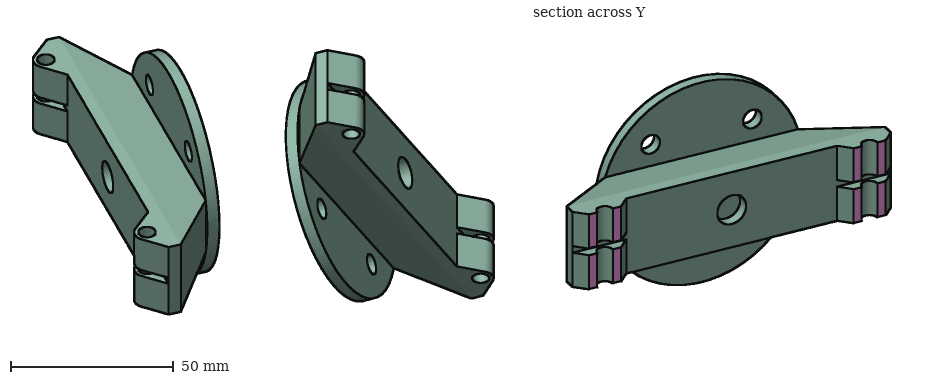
import cadquery as cq
import math

disc_diameter = 70.0
disc_thickness = 4.0
disc_hole_diameter = 6.4
disc_hole_circle_diameter = 50.0
disc_hole_count = 4
disc_hole_start_angle = 45.0

bar_length = 110.6
bar_height = 26.3
bar_thickness = 4.0
neck_depth = 16.0
neck_length_at_disc = 67.0
neck_height_at_disc = 20.3
bore_diameter = 10.0
bore_depth = bar_thickness

lug_center_diagonal = 65.0
lug_center_x = lug_center_diagonal / math.sqrt(2)
lug_tip_radius = 4.0
lug_hole_diameter = 5.3
lug_slot_height = 2.3

disc_front_y = -disc_thickness
bar_back_y = disc_front_y - neck_depth
bar_front_y = bar_back_y - bar_thickness
lug_half_width = bar_length / 2 - lug_center_x
lug_axis_y = bar_front_y - (lug_half_width - lug_tip_radius * math.sqrt(2))
lug_tip_y = lug_axis_y - lug_tip_radius


def front_plane(y):
    """Plane at depth y, facing -Y, with local X along X and local Y along Z."""
    return cq.Workplane("XZ", origin=(0, y, 0))


def make_disc():
    disc = front_plane(0).circle(disc_diameter / 2).extrude(disc_thickness)
    holes = (
        front_plane(0)
        .polarArray(disc_hole_circle_diameter / 2, disc_hole_start_angle, 360, disc_hole_count)
        .circle(disc_hole_diameter / 2)
        .extrude(disc_thickness)
    )
    return disc.cut(holes)


def make_body():
    neck = (
        front_plane(disc_front_y)
        .rect(neck_length_at_disc, neck_height_at_disc)
        .workplane(offset=neck_depth)
        .rect(bar_length, bar_height)
        .loft(ruled=True)
    )
    bar = front_plane(bar_back_y).rect(bar_length, bar_height).extrude(bar_thickness)
    return neck.union(bar)


def make_lug(center_x):
    """Nose on the front of the bar, split at mid height by the clamp slot."""
    tangent_offset = lug_tip_radius / math.sqrt(2)
    tangent_y = lug_axis_y - tangent_offset
    nose = (
        cq.Workplane("XY")
        .moveTo(center_x - lug_half_width, bar_front_y)
        .lineTo(center_x - tangent_offset, tangent_y)
        .threePointArc((center_x, lug_tip_y), (center_x + tangent_offset, tangent_y))
        .lineTo(center_x + lug_half_width, bar_front_y)
        .close()
        .extrude(bar_height / 2, both=True)
    )
    slot_depth = bar_front_y - lug_tip_y
    slot = (
        front_plane(bar_front_y)
        .center(center_x, 0)
        .rect(2 * lug_half_width, lug_slot_height)
        .extrude(slot_depth)
    )
    return nose.cut(slot)


def make_lug_hole(center_x):
    """Bolt hole running along Z through the lug, centered on its rounded tip."""
    return (
        cq.Workplane("XY")
        .center(center_x, lug_axis_y)
        .circle(lug_hole_diameter / 2)
        .extrude(bar_height / 2, both=True)
    )


def make_bore():
    """Blind bore entering the bar from its front face."""
    floor_y = bar_front_y + bore_depth
    return front_plane(floor_y).circle(bore_diameter / 2).extrude(bore_depth)


result = make_disc().union(make_body())
for lug_x in (-lug_center_x, lug_center_x):
    result = result.union(make_lug(lug_x))
    result = result.cut(make_lug_hole(lug_x))
result = result.cut(make_bore())